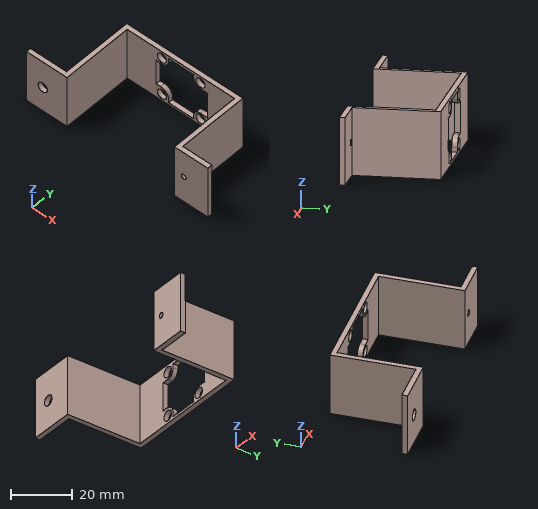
import cadquery as cq

length = 79.7
depth = 31.5
height = 23.0
thickness = 2.0
left_wall_inner_x = 17.85
right_wall_inner_x = 65.0

hole_diameter = 4.0
hole_spacing = 17.0
hole_center_x = 41.5

window_left = 30.5
window_right = 53.1
window_bottom = 1.1
window_top = 21.7
land_left_x = 36.0
land_right_x = 46.95
land_top_z = 17.1
land_bottom_left_z = 6.2
land_bottom_right_z = 5.7
land_radius = 3.0
land_bottom_left_radius = 3.5

left_flange_hole = (7.2, 11.0, hole_diameter)
right_flange_hole = (69.1, 11.7, 2.0)


def along_y(start_y):
    """Sketch plane with local x = X and local y = Z; extrude negatively for +Y."""
    return cq.Workplane("XZ", origin=(0, start_y, 0))


def make_strip():
    left_outer = left_wall_inner_x - thickness
    right_outer = right_wall_inner_x + thickness
    web_front = depth - thickness
    outline = [
        (0, 0),
        (left_wall_inner_x, 0),
        (left_wall_inner_x, web_front),
        (right_wall_inner_x, web_front),
        (right_wall_inner_x, 0),
        (length, 0),
        (length, thickness),
        (right_outer, thickness),
        (right_outer, depth),
        (left_outer, depth),
        (left_outer, thickness),
        (0, thickness),
    ]
    return cq.Workplane("XY").polyline(outline).close().extrude(height)


def make_land(side_x, edge_x, side_z, edge_z, radius):
    """Corner block from the window corner to its one rounded inner corner."""
    center = ((side_x + edge_x) / 2, (side_z + edge_z) / 2)
    x_side = ">X" if edge_x > side_x else "<X"
    z_side = ">Z" if edge_z > side_z else "<Z"
    return (
        along_y(depth - thickness)
        .center(*center)
        .rect(abs(edge_x - side_x), abs(edge_z - side_z))
        .extrude(-thickness)
        .faces(x_side)
        .edges(z_side)
        .fillet(radius)
    )


def make_window():
    window = (
        along_y(depth - thickness)
        .moveTo((window_left + window_right) / 2, (window_bottom + window_top) / 2)
        .rect(window_right - window_left, window_top - window_bottom)
        .extrude(-thickness)
    )
    lands = [
        (window_left, land_left_x, window_top, land_top_z, land_radius),
        (window_right, land_right_x, window_top, land_top_z, land_radius),
        (window_left, land_left_x, window_bottom, land_bottom_left_z, land_bottom_left_radius),
        (window_right, land_right_x, window_bottom, land_bottom_right_z, land_radius),
    ]
    for land in lands:
        window = window.cut(make_land(*land))
    return window


def make_mounting_holes():
    return (
        along_y(depth - thickness)
        .center(hole_center_x, height / 2)
        .rect(hole_spacing, hole_spacing, forConstruction=True)
        .vertices()
        .circle(hole_diameter / 2)
        .extrude(-thickness)
    )


def make_flange_hole(x, z, diameter):
    return along_y(0).moveTo(x, z).circle(diameter / 2).extrude(-thickness)


result = make_strip().cut(make_window()).cut(make_mounting_holes())
for flange_hole in (left_flange_hole, right_flange_hole):
    result = result.cut(make_flange_hole(*flange_hole))